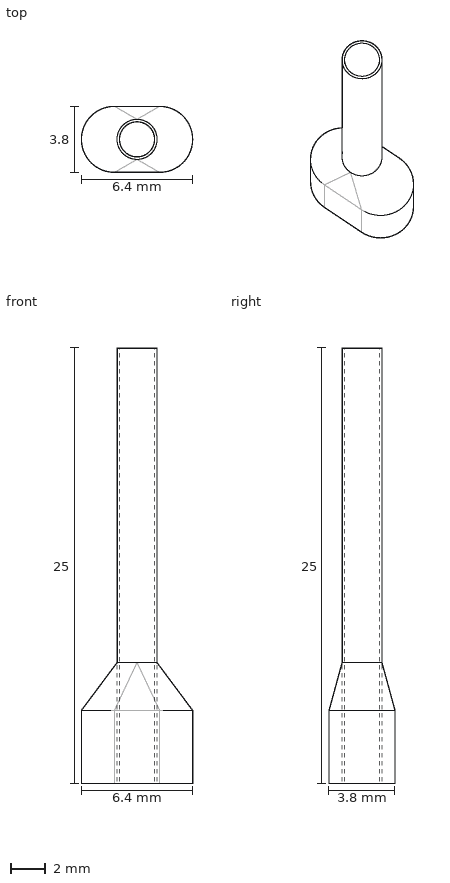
import cadquery as cq

LENGTH = 25.0
TUBE_DIAMETER = 2.3
BORE_DIAMETER = 2.0

COLLAR_LENGTH_X = 6.4
COLLAR_WIDTH_Y = 3.8
COLLAR_STRAIGHT_HEIGHT = 4.2
COLLAR_HEIGHT = 6.95

TUBE_RADIUS = TUBE_DIAMETER / 2
BORE_RADIUS = BORE_DIAMETER / 2
END_RADIUS = COLLAR_WIDTH_Y / 2
END_CENTER_X = (COLLAR_LENGTH_X - COLLAR_WIDTH_Y) / 2


def make_tube():
    """Plain thin-walled tube over the full length."""
    return (
        cq.Workplane("XY")
        .circle(TUBE_RADIUS)
        .circle(BORE_RADIUS)
        .extrude(LENGTH)
    )


def half_disc(center_x, radius, height, side):
    """Closed half-circle wire bulging toward +X (side = 1) or -X (side = -1)."""
    return (
        cq.Workplane("XY", origin=(center_x, 0, height))
        .moveTo(0, -radius)
        .threePointArc((side * radius, 0), (0, radius))
        .close()
        .val()
    )


def make_taper_end(side):
    """Half of the collar shoulder, narrowing from a rounded oval end to the tube."""
    lower = half_disc(side * END_CENTER_X, END_RADIUS, COLLAR_STRAIGHT_HEIGHT, side)
    upper = half_disc(0, TUBE_RADIUS, COLLAR_HEIGHT, side)
    return cq.Workplane(cq.Solid.makeLoft([lower, upper], True))


def make_taper_wedge():
    """Middle of the shoulder: a rectangle rising to a ridge along Y, with triangular flanks."""
    low = COLLAR_STRAIGHT_HEIGHT
    left_front = (-END_CENTER_X, -END_RADIUS, low)
    right_front = (END_CENTER_X, -END_RADIUS, low)
    right_back = (END_CENTER_X, END_RADIUS, low)
    left_back = (-END_CENTER_X, END_RADIUS, low)
    ridge_front = (0, -TUBE_RADIUS, COLLAR_HEIGHT)
    ridge_back = (0, TUBE_RADIUS, COLLAR_HEIGHT)
    outlines = [
        [left_front, right_front, right_back, left_back],
        [left_front, right_front, ridge_front],
        [right_back, left_back, ridge_back],
        [right_front, right_back, ridge_back, ridge_front],
        [left_back, left_front, ridge_front, ridge_back],
    ]
    faces = []
    for outline in outlines:
        wire = cq.Wire.makePolygon([cq.Vector(*point) for point in outline], close=True)
        faces.append(cq.Face.makeFromWires(wire))
    return cq.Workplane(cq.Solid.makeSolid(cq.Shell.makeShell(faces)))


def make_collar():
    """Oval collar with a tapered shoulder, fitted around the tube."""
    base = (
        cq.Workplane("XY")
        .slot2D(COLLAR_LENGTH_X, COLLAR_WIDTH_Y)
        .extrude(COLLAR_STRAIGHT_HEIGHT)
    )
    shoulder = make_taper_wedge()
    for side in (-1, 1):
        shoulder = shoulder.union(make_taper_end(side))
    tube_hole = cq.Workplane("XY").circle(TUBE_RADIUS).extrude(COLLAR_HEIGHT)
    return base.union(shoulder).cut(tube_hole)


tube = make_tube()
collar = make_collar()

result = cq.Compound.makeCompound([tube.val(), *collar.solids().vals()])